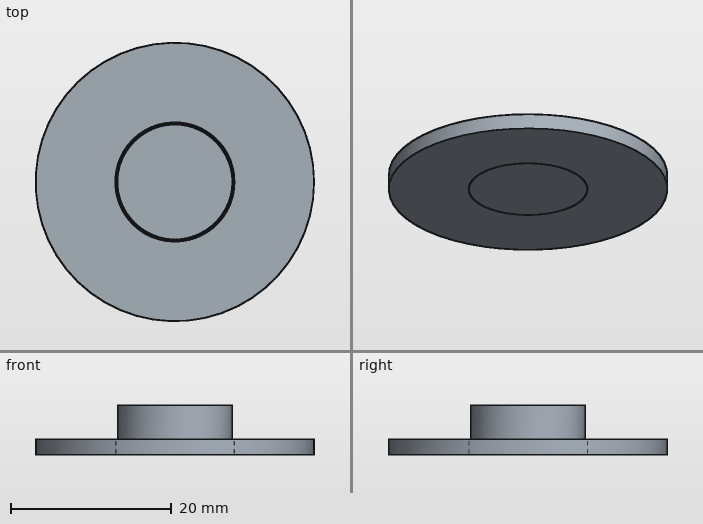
import cadquery as cq

disc_diameter = 34.7
disc_thickness = 1.98
hole_diameter = 14.8
base_diameter = 14.7
pin_diameter = 14.3
total_height = 6.2


def make_disc():
    """Flat round disc with a clearance hole through its centre."""
    return (
        cq.Workplane("XY")
        .circle(disc_diameter / 2)
        .circle(hole_diameter / 2)
        .extrude(disc_thickness)
    )


def make_pin():
    """Stepped pin: a wider base fills the hole and a narrower post rises above the disc."""
    base = cq.Workplane("XY").circle(base_diameter / 2).extrude(disc_thickness)
    post = cq.Workplane("XY").circle(pin_diameter / 2).extrude(total_height)
    return base.union(post)


disc = make_disc()
pin = make_pin()

result = cq.Compound.makeCompound([disc.val(), pin.val()])